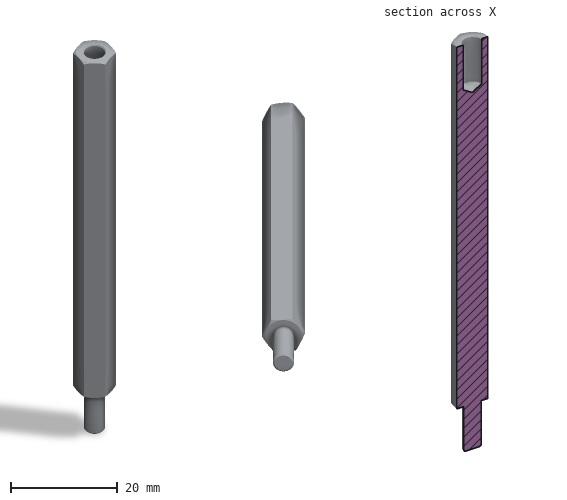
import cadquery as cq
import math

total_length = 90.0
stud_length = 10.0
body_length = total_length - stud_length
across_flats = 7.0
across_corners = across_flats / math.cos(math.radians(30))

stud_diameter = 4.0
stud_chamfer = 0.315

corner_face_diameter = 6.9
corner_slope = math.radians(30)
trim_clearance = 0.01

hole_diameter = 4.0
hole_depth = 10.0
hole_chamfer = 0.225
drill_half_angle = math.radians(59)


def make_body():
    """Hexagonal bar, corners along X, trimmed by a cone at each end."""
    bar = (
        cq.Workplane("XY")
        .workplane(offset=stud_length)
        .polygon(6, across_corners)
        .extrude(body_length)
    )
    face_radius = corner_face_diameter / 2
    outer_radius = across_corners / 2 + trim_clearance
    trim_height = (outer_radius - face_radius) * math.tan(corner_slope)
    envelope = (
        cq.Workplane("XZ")
        .moveTo(0, stud_length)
        .lineTo(face_radius, stud_length)
        .lineTo(outer_radius, stud_length + trim_height)
        .lineTo(outer_radius, total_length - trim_height)
        .lineTo(face_radius, total_length)
        .lineTo(0, total_length)
        .close()
        .revolve(360, (0, 0, 0), (0, 1, 0))
    )
    return bar.intersect(envelope)


def make_stud():
    """Cylindrical stud with a chamfered tip."""
    return (
        cq.Workplane("XY")
        .circle(stud_diameter / 2)
        .extrude(stud_length)
        .faces("<Z")
        .chamfer(stud_chamfer)
    )


def make_hole():
    """Blind hole with a countersunk mouth and a conical drill point."""
    radius = hole_diameter / 2
    floor = total_length - hole_depth
    return (
        cq.Workplane("XZ")
        .moveTo(0, total_length)
        .lineTo(radius + hole_chamfer, total_length)
        .lineTo(radius, total_length - hole_chamfer)
        .lineTo(radius, floor)
        .lineTo(0, floor - radius / math.tan(drill_half_angle))
        .close()
        .revolve(360, (0, 0, 0), (0, 1, 0))
    )


result = make_body().union(make_stud()).cut(make_hole())